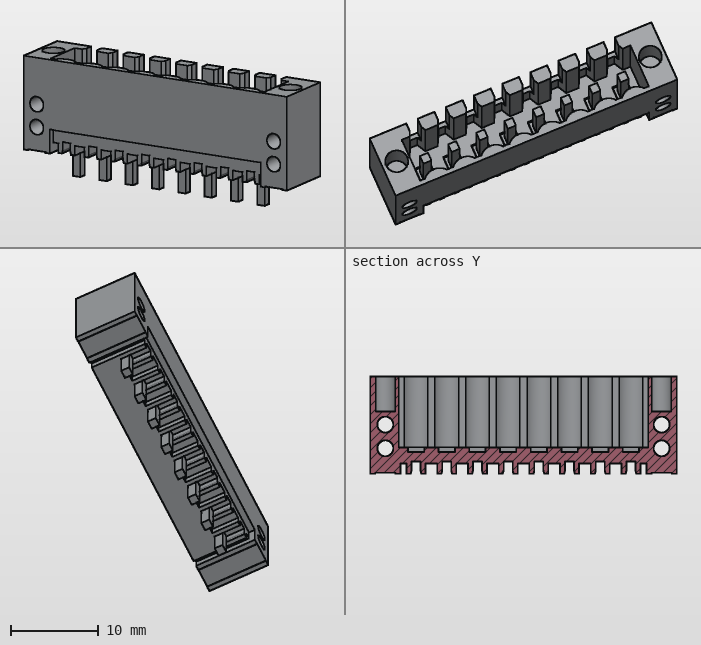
import cadquery as cq
length = 35.0
depth = 7.45
height = 11.1
total_height = 14.25

pin_count = 8
pitch = 3.5
pin_size = 1.0
pin_y = 3.5
pin_tail = total_height - height
pin_tip_drop = 2.6

cavity_width = 28.4
cavity_floor_z = 3.0
front_wall = 0.55
back_wall = 1.6
pin_well_size = 1.83
pin_well_depth = 0.5

bump_chord = 2.7
bump_rise = 0.63

groove_mouth = 1.97
groove_bottom = 0.85
groove_back_wall = 0.55
slot_width = 1.4
slot_floor_z = 5.83

recess_width = 28.0
recess_height = 2.85
recess_depth = 0.75
notch_width = 1.3
notch_height = 1.15
pin_channel_height = 1.37
flare_width = 0.1
flare_height = 0.37

mount_x = 15.75
mount_hole_diameter = 2.6
mount_hole_depth = 4.0
cross_hole_diameter = 1.8
cross_hole_heights = (2.9, 5.6)
relief_width = 2.3
relief_height = 0.1

pin_xs = [(i - (pin_count - 1) / 2) * pitch for i in range(pin_count)]
gap_xs = [x + pitch / 2 for x in pin_xs[:-1]]
end_xs = (-mount_x, mount_x)

pin_front_y = pin_y - pin_size / 2
pin_back_y = pin_y + pin_size / 2


def block(x, width, y_range, z_range):
    """Box centred on x, spanning the given y and z ranges."""
    y_low, y_high = y_range
    z_low, z_high = z_range
    return (
        cq.Workplane("XY", origin=(x, (y_low + y_high) / 2, z_low))
        .box(width, y_high - y_low, z_high - z_low, centered=(True, True, False))
    )


def bump(x):
    """Arc-shaped rib on the inside of the front wall."""
    half = bump_chord / 2
    return (
        cq.Workplane("XY", origin=(x, front_wall, cavity_floor_z))
        .moveTo(-half, 0)
        .threePointArc((0, bump_rise), (half, 0))
        .close()
        .extrude(height - cavity_floor_z)
    )


def coding_groove(x):
    """Tapered groove in the back wall, opened to the back above the slot floor."""
    mouth_y = depth - back_wall
    bottom_y = depth - groove_back_wall
    groove = (
        cq.Workplane("XY", origin=(x, 0, cavity_floor_z))
        .polyline([
            (-groove_mouth / 2, mouth_y),
            (-groove_bottom / 2, bottom_y),
            (groove_bottom / 2, bottom_y),
            (groove_mouth / 2, mouth_y),
        ])
        .close()
        .extrude(height - cavity_floor_z)
    )
    return groove.union(block(x, slot_width, (mouth_y, depth), (slot_floor_z, height)))


def pin_channel(x):
    """Channel under a pin, open to the front, with its lower edges flared."""
    half = pin_size / 2
    return (
        cq.Workplane("XZ", origin=(x, 0, 0))
        .polyline([
            (-half - flare_width, 0),
            (-half, flare_height),
            (-half, pin_channel_height),
            (half, pin_channel_height),
            (half, flare_height),
            (half + flare_width, 0),
        ])
        .close()
        .extrude(-pin_back_y)
    )


def cross_hole(x, z):
    """Hole through the full depth of an end block."""
    return (
        cq.Workplane("XZ", origin=(x, 0, z))
        .circle(cross_hole_diameter / 2)
        .extrude(-depth)
    )


def mount_hole(x):
    """Blind vertical hole in the top of an end block."""
    return (
        cq.Workplane("XY", origin=(x, depth / 2, height - mount_hole_depth))
        .circle(mount_hole_diameter / 2)
        .extrude(mount_hole_depth)
    )


def make_housing():
    """Open-topped housing with end blocks, pin holes and lower cut-outs."""
    body = block(0, length, (0, depth), (0, height))
    body = body.cut(block(0, cavity_width, (front_wall, depth - back_wall), (cavity_floor_z, height)))
    body = body.cut(block(0, recess_width, (0, recess_depth), (0, recess_height)))

    well_y = (pin_y - pin_well_size / 2, pin_y + pin_well_size / 2)
    well_z = (cavity_floor_z - pin_well_depth, cavity_floor_z)
    for x in pin_xs:
        body = body.union(bump(x))
        body = body.cut(coding_groove(x))
        body = body.cut(block(x, pin_well_size, well_y, well_z))
        body = body.cut(pin_channel(x))
        body = body.cut(block(x, pin_size, (pin_front_y, pin_back_y), (0, cavity_floor_z)))

    for x in gap_xs:
        body = body.cut(block(x, notch_width, (0, pin_back_y), (0, notch_height)))
    end_notch_width = notch_width / 2
    for side in (-1, 1):
        end_notch_x = side * (recess_width - end_notch_width) / 2
        body = body.cut(block(end_notch_x, end_notch_width, (0, depth), (0, notch_height)))

    for x in end_xs:
        body = body.cut(mount_hole(x))
        body = body.cut(block(x, relief_width, (0, depth), (0, relief_height)))
        for z in cross_hole_heights:
            body = body.cut(cross_hole(x, z))
    return body


def make_pin(x):
    """Straight square contact pin filling its hole in the housing floor."""
    return block(x, pin_size, (pin_front_y, pin_back_y), (-pin_tail, height - pin_tip_drop))


housing = make_housing()
pins = [make_pin(x) for x in pin_xs]

result = cq.Compound.makeCompound([housing.val(), *[pin.val() for pin in pins]])